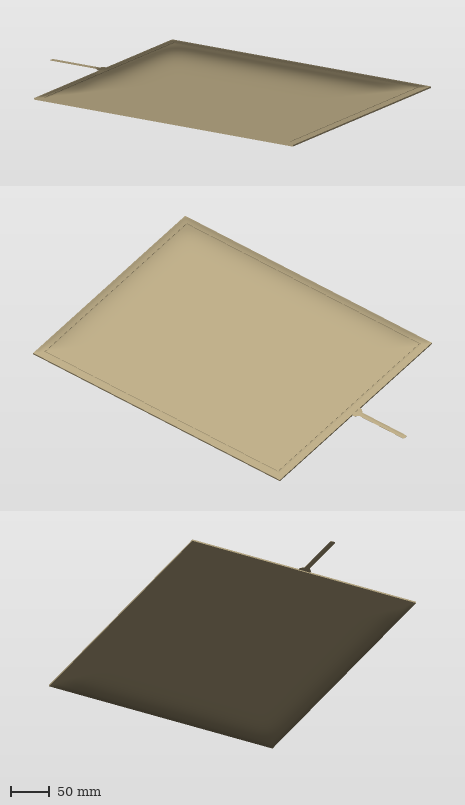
import cadquery as cq

panel_length = 400.0
panel_width = 326.4
panel_thickness = 2.1

groove_outer_margin = 10.4
groove_outer_margin_left = 9.4
groove_inner_margin = 12.1
groove_depth = 0.4

tail_reach = 80.6
tail_width = 7.2
tail_thickness = 0.3
tail_top_gap = 0.4
tail_corner = 1.2
root_width = 16.6
root_length = 3.6

end_length = 6.6
end_step = 0.1
contact_count = 4
contact_length = 2.6
contact_width = 0.8
contact_pitch = 1.5
contact_inset = 0.8

panel_left = -panel_length / 2
tail_tip = panel_left - tail_reach
tail_top = panel_thickness - tail_top_gap


def margin_block(left_margin, margin):
    """Block of groove depth, flush with the panel top, set in from the panel edges."""
    length = panel_length - left_margin - margin
    width = panel_width - 2 * margin
    centre_x = (left_margin - margin) / 2
    return (
        cq.Workplane("XY", origin=(centre_x, 0, panel_thickness - groove_depth))
        .rect(length, width)
        .extrude(groove_depth)
    )


def make_panel():
    plate = cq.Workplane("XY").rect(panel_length, panel_width).extrude(panel_thickness)
    groove = margin_block(groove_outer_margin_left, groove_outer_margin).cut(
        margin_block(groove_inner_margin, groove_inner_margin)
    )
    return plate.cut(groove)


def make_tail():
    root_start = panel_left - root_length
    taper_start = root_start - (root_width - tail_width) / 2
    upper_half = [
        (panel_left, root_width / 2),
        (root_start, root_width / 2),
        (taper_start, tail_width / 2),
        (tail_tip + tail_corner, tail_width / 2),
        (tail_tip, tail_width / 2 - tail_corner),
    ]
    lower_half = [(x, -y) for x, y in reversed(upper_half)]
    return (
        cq.Workplane("XY", origin=(0, 0, tail_top - tail_thickness))
        .polyline(upper_half + lower_half)
        .close()
        .extrude(tail_thickness)
    )


def make_end_step():
    return (
        cq.Workplane("XY", origin=(tail_tip + end_length / 2, 0, tail_top - end_step))
        .rect(end_length, tail_width)
        .extrude(end_step)
    )


def make_contacts():
    centre_x = tail_tip + contact_inset + contact_length / 2
    return (
        cq.Workplane("XY", origin=(centre_x, 0, tail_top - end_step))
        .rarray(1, contact_pitch, 1, contact_count)
        .rect(contact_length, contact_width)
        .extrude(end_step)
    )


tail = make_tail().cut(make_end_step()).union(make_contacts())
result = make_panel().union(tail)